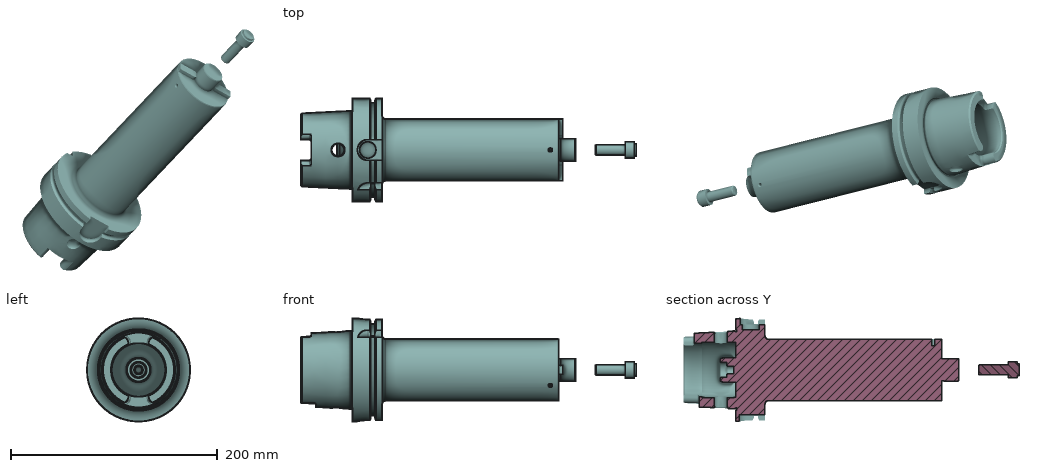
import cadquery as cq
import math


SHANK_LENGTH = 50.0
SHANK_FRONT_DIAMETER = 71.2
SHANK_REAR_DIAMETER = 75.7
SHANK_FRONT_CHAMFER = 1.3
COLLAR_LENGTH = 3.0
COLLAR_RADIUS = 38.0
COLLAR_BEVEL_LENGTH = 1.0
COLLAR_ROOT_RADIUS = 37.0
FACE_RECESS_RADIUS = 39.5
FACE_RECESS_DEPTH = 1.0

BORE_DIAMETER = 51.7
BORE_DEPTH = 17.5
BORE_MOUTH_CHAMFER = 1.0
CHAMBER_DIAMETER = 53.0
BOSS_DIAMETER = 24.0
BOSS_TIP_DIAMETER = 22.0
BOSS_LENGTH = 15.0
BOSS_TAPER_LENGTH = 3.0
BOSS_HOLE_DIAMETER = 14.0
BOSS_HOLE_MOUTH_DIAMETER = 16.0
BOSS_HOLE_DEPTH = 6.5
CORE_HOLE_DIAMETER = 6.8
CORE_HOLE_MOUTH_DIAMETER = 8.8
CORE_HOLE_DEPTH = 6.5

CROSS_HOLE_DIAMETER = 12.0
CROSS_HOLE_MOUTH_DIAMETER = 13.3
CROSS_HOLE_MOUTH_DEPTH = 1.3
CROSS_HOLE_X = -14.0

DRIVE_SLOT_WIDTH = 20.0
DRIVE_SLOT_LIP_RADIUS = 5.2
DRIVE_SLOT_LIP_TOP = 32.0
DRIVE_SLOT_FLOOR_FILLET = 2.0
UPPER_DRIVE_SLOT_DEPTH = 10.0
LOWER_DRIVE_SLOT_DEPTH = 14.5

FLANGE_DIAMETER = 100.0
FLANGE_WIDTH = 29.0
GROOVE_CENTRE_X = 19.8
GROOVE_TOP_WIDTH = 6.2
GROOVE_FLOOR_WIDTH = 4.0
GROOVE_BEVEL_DEPTH = 2.3
GROOVE_FLOOR_RADIUS = 45.8

UPPER_KEY_SLOT_WIDTH = 20.0
LOWER_KEY_SLOT_WIDTH = 22.0
NOTCH_WIDTH = 20.0
KEY_SLOT_CENTRE_X = 15.0
KEY_SLOT_FLOOR = 44.0
NOTCH_FLOOR = 32.0
POCKET_DIAMETER = 16.0
POCKET_DEPTH = 4.5

ARBOR_DIAMETER = 60.0
ARBOR_END_X = 200.0
END_BEVEL_LENGTH = 1.0
END_BEVEL_DEPTH = 0.3
NECK_FILLET = 3.0
SIDE_HOLE_DIAMETER = 2.5
SIDE_HOLE_MOUTH_DIAMETER = 4.0
SIDE_HOLE_COUNT = 3
SIDE_HOLE_X = 191.8
SIDE_HOLE_DEPTH = 6.5

PILOT_DIAMETER = 22.0
PILOT_LENGTH = 16.5
UNDERCUT_DIAMETER = 21.8
UNDERCUT_LENGTH = 2.0
DRIVE_KEY_WIDTH = 8.8
DRIVE_KEY_HEIGHT = 4.0
DRIVE_KEY_FLAT_START = 14.3

SCREW_TIP_X = 235.3
SCREW_END_X = 325 - SHANK_LENGTH
SCREW_SHANK_DIAMETER = 10.0
SCREW_TIP_DIAMETER = 8.8
SCREW_TIP_LENGTH = 1.0
SCREW_HEAD_DIAMETER = 16.0
SCREW_HEAD_LENGTH = 8.8
SCREW_COLLAR_DIAMETER = 12.0
SCREW_COLLAR_LENGTH = 2.0

SHANK_FRONT_RADIUS = SHANK_FRONT_DIAMETER / 2
SHANK_REAR_RADIUS = SHANK_REAR_DIAMETER / 2
FLANGE_RADIUS = FLANGE_DIAMETER / 2
ARBOR_RADIUS = ARBOR_DIAMETER / 2
PILOT_RADIUS = PILOT_DIAMETER / 2
PILOT_END_X = ARBOR_END_X + PILOT_LENGTH


def turned(points):
    """Revolve an outline of (x, radius) points about the X axis."""
    return cq.Workplane("XY").polyline(points).close().revolve(360, (0, 0, 0), (1, 0, 0))


def body_blank():
    """Turned outside of shank, flange, arbor and pilot."""
    groove_top = GROOVE_TOP_WIDTH / 2
    groove_floor = GROOVE_FLOOR_WIDTH / 2
    undercut_radius = UNDERCUT_DIAMETER / 2
    fillet_centre = (FLANGE_WIDTH + NECK_FILLET, ARBOR_RADIUS + NECK_FILLET)
    diagonal = NECK_FILLET * math.sqrt(0.5)
    outline = (
        cq.Workplane("XY")
        .moveTo(-SHANK_LENGTH, 0)
        .lineTo(-SHANK_LENGTH, SHANK_FRONT_RADIUS - SHANK_FRONT_CHAMFER)
        .lineTo(-SHANK_LENGTH + SHANK_FRONT_CHAMFER, SHANK_FRONT_RADIUS)
        .lineTo(-COLLAR_LENGTH, SHANK_REAR_RADIUS)
        .lineTo(-COLLAR_LENGTH + COLLAR_BEVEL_LENGTH, COLLAR_RADIUS)
        .lineTo(-COLLAR_BEVEL_LENGTH, COLLAR_RADIUS)
        .lineTo(FACE_RECESS_DEPTH, COLLAR_ROOT_RADIUS)
        .lineTo(FACE_RECESS_DEPTH, FACE_RECESS_RADIUS - FACE_RECESS_DEPTH)
        .lineTo(0, FACE_RECESS_RADIUS)
        .lineTo(0, FLANGE_RADIUS)
        .lineTo(GROOVE_CENTRE_X - groove_top, FLANGE_RADIUS)
        .lineTo(GROOVE_CENTRE_X - groove_floor, FLANGE_RADIUS - GROOVE_BEVEL_DEPTH)
        .lineTo(GROOVE_CENTRE_X - groove_floor, GROOVE_FLOOR_RADIUS)
        .lineTo(GROOVE_CENTRE_X + groove_floor, GROOVE_FLOOR_RADIUS)
        .lineTo(GROOVE_CENTRE_X + groove_floor, FLANGE_RADIUS - GROOVE_BEVEL_DEPTH)
        .lineTo(GROOVE_CENTRE_X + groove_top, FLANGE_RADIUS)
        .lineTo(FLANGE_WIDTH, FLANGE_RADIUS)
        .lineTo(FLANGE_WIDTH, ARBOR_RADIUS + NECK_FILLET)
        .threePointArc(
            (fillet_centre[0] - diagonal, fillet_centre[1] - diagonal),
            (FLANGE_WIDTH + NECK_FILLET, ARBOR_RADIUS),
        )
        .lineTo(ARBOR_END_X - END_BEVEL_LENGTH, ARBOR_RADIUS)
        .lineTo(ARBOR_END_X, ARBOR_RADIUS - END_BEVEL_DEPTH)
        .lineTo(ARBOR_END_X, undercut_radius)
        .lineTo(ARBOR_END_X + UNDERCUT_LENGTH, undercut_radius)
        .lineTo(ARBOR_END_X + UNDERCUT_LENGTH, PILOT_RADIUS)
        .lineTo(PILOT_END_X - END_BEVEL_LENGTH, PILOT_RADIUS)
        .lineTo(PILOT_END_X, PILOT_RADIUS - END_BEVEL_DEPTH)
        .lineTo(PILOT_END_X, 0)
        .close()
    )
    return outline.revolve(360, (0, 0, 0), (1, 0, 0))


def shank_cavity():
    """Shank bore and the wider chamber behind it, leaving the drilled boss on the chamber floor."""
    bore_radius = BORE_DIAMETER / 2
    chamber_radius = CHAMBER_DIAMETER / 2
    bore_end = -SHANK_LENGTH + BORE_DEPTH
    boss_radius = BOSS_DIAMETER / 2
    hole_radius = BOSS_HOLE_DIAMETER / 2
    hole_mouth_radius = BOSS_HOLE_MOUTH_DIAMETER / 2
    hole_floor = -BOSS_LENGTH + BOSS_HOLE_DEPTH
    core_radius = CORE_HOLE_DIAMETER / 2
    core_mouth_radius = CORE_HOLE_MOUTH_DIAMETER / 2
    core_floor = hole_floor + CORE_HOLE_DEPTH
    return turned([
        (-SHANK_LENGTH, 0),
        (-SHANK_LENGTH, bore_radius + BORE_MOUTH_CHAMFER),
        (-SHANK_LENGTH + BORE_MOUTH_CHAMFER, bore_radius),
        (bore_end, bore_radius),
        (bore_end, chamber_radius),
        (0, chamber_radius),
        (0, boss_radius),
        (-BOSS_LENGTH + BOSS_TAPER_LENGTH, boss_radius),
        (-BOSS_LENGTH, BOSS_TIP_DIAMETER / 2),
        (-BOSS_LENGTH, hole_mouth_radius),
        (-BOSS_LENGTH + hole_mouth_radius - hole_radius, hole_radius),
        (hole_floor, hole_radius),
        (hole_floor, core_mouth_radius),
        (hole_floor + core_mouth_radius - core_radius, core_radius),
        (core_floor, core_radius),
        (core_floor, 0),
    ])


def cross_hole():
    """Vertical hole through both walls of the shank, countersunk outside and stopping at the boss."""
    mouth_height = SHANK_FRONT_RADIUS + (SHANK_REAR_RADIUS - SHANK_FRONT_RADIUS) * (
        1 + CROSS_HOLE_X / SHANK_LENGTH
    )
    radius = CROSS_HOLE_DIAMETER / 2
    mouth_radius = CROSS_HOLE_MOUTH_DIAMETER / 2
    cut = (
        cq.Workplane("XZ", origin=(CROSS_HOLE_X, 0, 0))
        .lineTo(radius, 0)
        .lineTo(radius, mouth_height - CROSS_HOLE_MOUTH_DEPTH)
        .lineTo(mouth_radius, mouth_height)
        .lineTo(mouth_radius, FLANGE_RADIUS)
        .lineTo(0, FLANGE_RADIUS)
        .close()
        .revolve(360, (0, 0, 0), (0, 1, 0))
    )
    chamber_zone = cq.Workplane("YZ").circle(CHAMBER_DIAMETER / 2).extrude(-SHANK_LENGTH)
    upper = cut.cut(chamber_zone)
    return upper.union(upper.rotate((0, 0, 0), (1, 0, 0), 180))


def drive_slot(depth):
    """Slot across the upper shank wall, its walls rounding outwards at the lip."""
    half_width = DRIVE_SLOT_WIDTH / 2
    lip_half_width = half_width + DRIVE_SLOT_LIP_RADIUS
    lip_bottom = DRIVE_SLOT_LIP_TOP - DRIVE_SLOT_LIP_RADIUS
    rise = DRIVE_SLOT_LIP_RADIUS * math.sqrt(0.5)
    arc_middle = (lip_half_width - rise, lip_bottom + rise)
    slot = (
        cq.Workplane("YZ", origin=(-SHANK_LENGTH, 0, 0))
        .moveTo(-half_width, 0)
        .lineTo(half_width, 0)
        .lineTo(half_width, lip_bottom)
        .threePointArc(arc_middle, (lip_half_width, DRIVE_SLOT_LIP_TOP))
        .lineTo(lip_half_width, FLANGE_RADIUS)
        .lineTo(-lip_half_width, FLANGE_RADIUS)
        .lineTo(-lip_half_width, DRIVE_SLOT_LIP_TOP)
        .threePointArc((-arc_middle[0], arc_middle[1]), (-half_width, lip_bottom))
        .close()
        .extrude(depth)
    )
    straight_walls = cq.selectors.BoxSelector(
        (-SHANK_LENGTH, -lip_half_width, 0),
        (0, lip_half_width, lip_bottom),
    )
    return slot.faces(">X").edges("|Z").edges(straight_walls).fillet(DRIVE_SLOT_FLOOR_FILLET)


def flange_slot(width, centre_y, floor):
    """Slot with one round end, open towards +X and upwards from its floor."""
    length = FLANGE_WIDTH - KEY_SLOT_CENTRE_X
    height = FLANGE_RADIUS - floor
    round_end = (
        cq.Workplane("XY", origin=(KEY_SLOT_CENTRE_X, centre_y, floor))
        .circle(width / 2)
        .extrude(height)
    )
    straight = cq.Workplane("XY").box(length, width, height, centered=(False, True, False))
    return round_end.union(straight.translate((KEY_SLOT_CENTRE_X, centre_y, floor)))


def flange_pocket():
    """Round blind pocket in the floor of the upper key slot."""
    return (
        cq.Workplane("XY", origin=(KEY_SLOT_CENTRE_X, 0, KEY_SLOT_FLOOR - POCKET_DEPTH))
        .circle(POCKET_DIAMETER / 2)
        .extrude(POCKET_DEPTH)
    )


def side_hole():
    """Countersunk radial hole in the top of the arbor near its end."""
    radius = SIDE_HOLE_DIAMETER / 2
    mouth_radius = SIDE_HOLE_MOUTH_DIAMETER / 2
    countersink = mouth_radius - radius
    return (
        cq.Workplane("XZ", origin=(SIDE_HOLE_X, 0, 0))
        .moveTo(0, ARBOR_RADIUS - SIDE_HOLE_DEPTH)
        .lineTo(radius, ARBOR_RADIUS - SIDE_HOLE_DEPTH)
        .lineTo(radius, ARBOR_RADIUS - countersink)
        .lineTo(mouth_radius, ARBOR_RADIUS)
        .lineTo(0, ARBOR_RADIUS)
        .close()
        .revolve(360, (0, 0, 0), (0, 1, 0))
    )


def drive_keys():
    """Two opposite keys on the arbor end face, round inside and flush with the arbor outside."""
    key_radius = DRIVE_KEY_WIDTH / 2
    face = cq.Workplane("YZ", origin=(ARBOR_END_X, 0, 0))
    arbor = face.circle(ARBOR_RADIUS).extrude(DRIVE_KEY_HEIGHT)
    flat_length = ARBOR_RADIUS - DRIVE_KEY_FLAT_START
    flat_centre = DRIVE_KEY_FLAT_START + flat_length / 2
    keys = (
        face.pushPoints([(-flat_centre, 0), (flat_centre, 0)])
        .rect(flat_length, DRIVE_KEY_WIDTH)
        .extrude(DRIVE_KEY_HEIGHT)
    )
    round_ends = (
        face.pushPoints([(-DRIVE_KEY_FLAT_START, 0), (DRIVE_KEY_FLAT_START, 0)])
        .circle(key_radius)
        .extrude(DRIVE_KEY_HEIGHT)
    )
    return keys.union(round_ends).intersect(arbor)


def make_holder():
    """Arbor holder: taper shank, flange, arbor, pilot and drive keys in one solid."""
    holder = body_blank().union(drive_keys())
    holder = holder.cut(shank_cavity()).cut(cross_hole())
    holder = holder.cut(drive_slot(UPPER_DRIVE_SLOT_DEPTH))
    holder = holder.cut(drive_slot(LOWER_DRIVE_SLOT_DEPTH).rotate((0, 0, 0), (1, 0, 0), 180))
    lower_key_slot = flange_slot(LOWER_KEY_SLOT_WIDTH, 0, KEY_SLOT_FLOOR)
    holder = holder.cut(flange_slot(UPPER_KEY_SLOT_WIDTH, 0, KEY_SLOT_FLOOR))
    holder = holder.cut(lower_key_slot.rotate((0, 0, 0), (1, 0, 0), 180))
    holder = holder.cut(flange_slot(NOTCH_WIDTH, -NOTCH_FLOOR - NOTCH_WIDTH / 2, NOTCH_FLOOR))
    holder = holder.cut(flange_pocket())
    for index in range(SIDE_HOLE_COUNT):
        angle = index * 360 / SIDE_HOLE_COUNT
        holder = holder.cut(side_hole().rotate((0, 0, 0), (1, 0, 0), angle))
    return holder


def make_screw():
    """Clamping screw with a chamfered tip, cylindrical head and end collar."""
    shank_radius = SCREW_SHANK_DIAMETER / 2
    head_radius = SCREW_HEAD_DIAMETER / 2
    collar_radius = SCREW_COLLAR_DIAMETER / 2
    head_end = SCREW_END_X - SCREW_COLLAR_LENGTH
    head_start = head_end - SCREW_HEAD_LENGTH
    return turned([
        (SCREW_TIP_X, 0),
        (SCREW_TIP_X, SCREW_TIP_DIAMETER / 2),
        (SCREW_TIP_X + SCREW_TIP_LENGTH, shank_radius),
        (head_start, shank_radius),
        (head_start, head_radius),
        (head_end, head_radius),
        (head_end, collar_radius),
        (SCREW_END_X, collar_radius),
        (SCREW_END_X, 0),
    ])


holder = make_holder()
screw = make_screw()
result = cq.Compound.makeCompound([holder.val(), screw.val()])